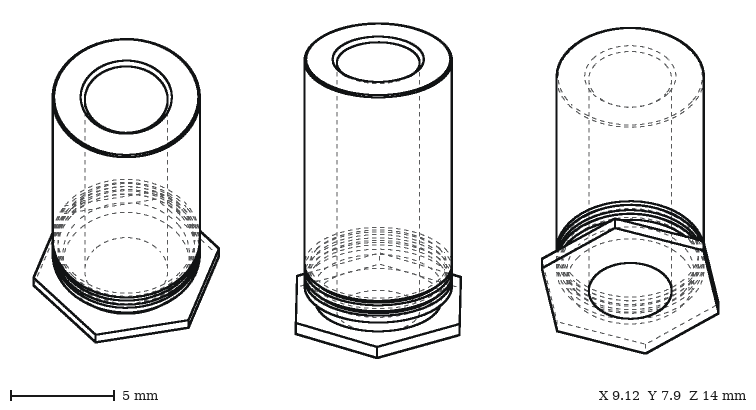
import cadquery as cq
import math

total_height = 14.0
flange_thickness = 0.62
neck_height = 0.78

hex_across_flats = 7.9
hex_across_corners = hex_across_flats / math.cos(math.radians(30))

body_diameter = 7.12
groove_diameter = 6.61
neck_diameter = 6.1
bore_diameter = 4.0

groove_count = 2
groove_width = 0.25
groove_pitch = 0.58
lower_ring_height = 0.38

outer_chamfer = 0.08
bore_chamfer = 0.2

neck_top = flange_thickness + neck_height
first_groove_bottom = neck_top + lower_ring_height


def cylinder(diameter, bottom, top):
    """Solid cylinder on the Z axis between two heights."""
    return cq.Workplane("XY").workplane(offset=bottom).circle(diameter / 2).extrude(top - bottom)


def hex_flange():
    return cq.Workplane("XY").polygon(6, hex_across_corners).extrude(flange_thickness)


def grooved_body():
    """Main barrel with its top edge chamfered and the grooves cut around it."""
    body = cylinder(body_diameter, neck_top, total_height).faces(">Z").edges().chamfer(outer_chamfer)
    for index in range(groove_count):
        bottom = first_groove_bottom + index * groove_pitch
        top = bottom + groove_width
        groove = cylinder(body_diameter, bottom, top).cut(cylinder(groove_diameter, bottom, top))
        body = body.cut(groove)
    return body


def chamfered_bore():
    """Through bore, widened by a 45 degree cone at the top face."""
    bore = cylinder(bore_diameter, 0, total_height)
    mouth_radius = bore_diameter / 2 + bore_chamfer
    cone = cq.Solid.makeCone(
        bore_diameter / 2,
        mouth_radius,
        bore_chamfer,
        pnt=cq.Vector(0, 0, total_height - bore_chamfer),
    )
    return bore.union(cq.Workplane(obj=cone))


neck = cylinder(neck_diameter, flange_thickness, neck_top)
result = hex_flange().union(neck).union(grooved_body()).cut(chamfered_bore())